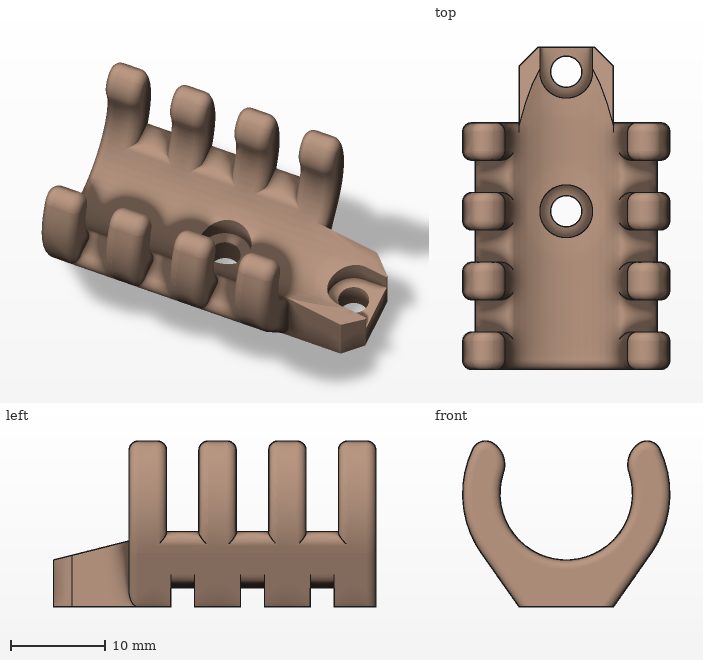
import cadquery as cq
import math

OUTER_WIDTH = 22.0
OUTER_RADIUS = OUTER_WIDTH / 2
BORE_RADIUS = 7.0
AXIS_Z = 12.0
BORE_BOTTOM_Z = AXIS_Z - BORE_RADIUS
BASE_HALF_WIDTH = 5.0

TIP_RADIUS = 1.5
BUMP_RADIUS = 2.75
TOTAL_HEIGHT = 17.6
TIP_ORBIT = OUTER_RADIUS - TIP_RADIUS
TIP_RISE = TOTAL_HEIGHT - TIP_RADIUS - AXIS_Z

TOTAL_LENGTH = 34.2
FINGER_COUNT = 4
FINGER_WIDTH = 4.0
BODY_LENGTH = 26.2
FINGER_PITCH = (BODY_LENGTH - FINGER_WIDTH) / (FINGER_COUNT - 1)
EDGE_RADIUS = 1.0
GAP_FLOOR_Z = 8.0

TONGUE_END_Z = BORE_BOTTOM_Z
TONGUE_ROOT_Z = 7.0
TONGUE_CHAMFER = 2.0

HOLE_DIAMETER = 3.3
COUNTERBORE_DIAMETER = 5.6
COUNTERBORE_FLOOR_Z = 3.0
SCREW_FINGER = 2

NOTCH_WIDTH = 2.5
NOTCH_MIDDLE_Z = 2.0
NOTCH_CEILING_RADIUS = 30.78
NOTCH_ROUND_RADIUS = 2.0


def finger_y(index):
    """Centre of a finger along Y; an index past the last one continues the pitch."""
    return FINGER_WIDTH / 2 + index * FINGER_PITCH


def axis_point(radius, angle):
    """Point (x, z) at a radius and angle about the bore axis."""
    return radius * math.cos(angle), AXIS_Z + radius * math.sin(angle)


def mirror_x(point):
    """Point (x, z) on the opposite side of the middle plane."""
    return -point[0], point[1]


def toward(start, end, distance):
    """Point at a distance from start on the line to end."""
    scale = distance / math.dist(start, end)
    return start[0] + scale * (end[0] - start[0]), start[1] + scale * (end[1] - start[1])


def round_middle(centre, start, end, radius):
    """Middle point of the short arc from start to end about a centre."""
    chord_middle = ((start[0] + end[0]) / 2, (start[1] + end[1]) / 2)
    return toward(centre, chord_middle, radius)


def extrude_along_y(sketch, y_start, y_end):
    """Extrude an XZ sketch from y_start to y_end."""
    return sketch.extrude(-(y_end - y_start)).translate((0, y_start, 0))


flank_angle = -math.atan2(AXIS_Z, BASE_HALF_WIDTH) + math.acos(
    OUTER_RADIUS / math.hypot(BASE_HALF_WIDTH, AXIS_Z)
)
flank_end = axis_point(OUTER_RADIUS, flank_angle)


def clip_outline():
    """C-shaped outline with rounded tips that bulge into the mouth."""
    tip_angle = math.asin(TIP_RISE / TIP_ORBIT)
    bump_orbit = BORE_RADIUS + BUMP_RADIUS
    centre_gap = BUMP_RADIUS - TIP_RADIUS
    cosine = (TIP_ORBIT**2 + bump_orbit**2 - centre_gap**2) / (2 * TIP_ORBIT * bump_orbit)
    bump_angle = tip_angle - math.acos(cosine)

    tip_centre = axis_point(TIP_ORBIT, tip_angle)
    bump_centre = axis_point(bump_orbit, bump_angle)
    tip_outer = axis_point(OUTER_RADIUS, tip_angle)
    tip_top = (tip_centre[0], TOTAL_HEIGHT)
    tip_inner = toward(bump_centre, tip_centre, BUMP_RADIUS)
    bump_end = axis_point(BORE_RADIUS, bump_angle)
    bump_middle = round_middle(bump_centre, tip_inner, bump_end, BUMP_RADIUS)
    outer_side = (OUTER_RADIUS, AXIS_Z)
    return (
        cq.Workplane("XZ")
        .moveTo(-BASE_HALF_WIDTH, 0)
        .lineTo(BASE_HALF_WIDTH, 0)
        .lineTo(*flank_end)
        .threePointArc(outer_side, tip_outer)
        .threePointArc(tip_top, tip_inner)
        .threePointArc(bump_middle, bump_end)
        .threePointArc((0, BORE_BOTTOM_Z), mirror_x(bump_end))
        .threePointArc(mirror_x(bump_middle), mirror_x(tip_inner))
        .threePointArc(mirror_x(tip_top), mirror_x(tip_outer))
        .threePointArc(mirror_x(outer_side), mirror_x(flank_end))
        .close()
    )


def finger(index):
    """Full C-shaped slice at one finger, both end faces rounded except along the flat base."""
    y_start = finger_y(index) - FINGER_WIDTH / 2
    slice_solid = extrude_along_y(clip_outline(), y_start, y_start + FINGER_WIDTH)
    return slice_solid.faces("|Y").edges("not <Z").fillet(EDGE_RADIUS)


def trough(y_end):
    """Bar from the first finger to y_end, its two top walls rounded on both sides."""
    round_z = GAP_FLOOR_Z - EDGE_RADIUS
    drop = AXIS_Z - round_z
    outer_angle = -math.asin(drop / (OUTER_RADIUS - EDGE_RADIUS))
    inner_angle = -math.asin(drop / (BORE_RADIUS + EDGE_RADIUS))
    outer_centre = axis_point(OUTER_RADIUS - EDGE_RADIUS, outer_angle)
    inner_centre = axis_point(BORE_RADIUS + EDGE_RADIUS, inner_angle)

    outer_start = axis_point(OUTER_RADIUS, outer_angle)
    outer_floor = (outer_centre[0], GAP_FLOOR_Z)
    inner_floor = (inner_centre[0], GAP_FLOOR_Z)
    inner_end = axis_point(BORE_RADIUS, inner_angle)
    outer_middle = round_middle(outer_centre, outer_start, outer_floor, EDGE_RADIUS)
    inner_middle = round_middle(inner_centre, inner_floor, inner_end, EDGE_RADIUS)
    side_middle = axis_point(OUTER_RADIUS, (flank_angle + outer_angle) / 2)
    outline = (
        cq.Workplane("XZ")
        .moveTo(-BASE_HALF_WIDTH, 0)
        .lineTo(BASE_HALF_WIDTH, 0)
        .lineTo(*flank_end)
        .threePointArc(side_middle, outer_start)
        .threePointArc(outer_middle, outer_floor)
        .lineTo(*inner_floor)
        .threePointArc(inner_middle, inner_end)
        .threePointArc((0, BORE_BOTTOM_Z), mirror_x(inner_end))
        .threePointArc(mirror_x(inner_middle), mirror_x(inner_floor))
        .lineTo(*mirror_x(outer_floor))
        .threePointArc(mirror_x(outer_middle), mirror_x(outer_start))
        .threePointArc(mirror_x(side_middle), mirror_x(flank_end))
        .close()
    )
    return extrude_along_y(outline, finger_y(0), y_end)


def tongue():
    """Sloped tongue with chamfered end corners; the bore runs out through its top."""
    slope = (TONGUE_ROOT_Z - TONGUE_END_Z) / (TOTAL_LENGTH - BODY_LENGTH)
    y_start = finger_y(FINGER_COUNT - 1)
    start_z = TONGUE_END_Z + slope * (TOTAL_LENGTH - y_start)
    block = (
        cq.Workplane("YZ")
        .polyline([(y_start, 0), (TOTAL_LENGTH, 0), (TOTAL_LENGTH, TONGUE_END_Z), (y_start, start_z)])
        .close()
        .extrude(BASE_HALF_WIDTH, both=True)
        .edges("|Z and >Y")
        .chamfer(TONGUE_CHAMFER)
    )
    return block.intersect(trough(TOTAL_LENGTH))


def screw_hole(y):
    """Through hole along Z with a counterbore opening into the bore."""
    hole = cq.Workplane("XY").center(0, y).circle(HOLE_DIAMETER / 2).extrude(AXIS_Z)
    counterbore = (
        cq.Workplane("XY", origin=(0, y, COUNTERBORE_FLOOR_Z))
        .circle(COUNTERBORE_DIAMETER / 2)
        .extrude(AXIS_Z - COUNTERBORE_FLOOR_Z)
    )
    return hole.union(counterbore)


def tongue_recess(y):
    """Straight recess that carries a counterbore at y out through the end of the tongue."""
    recess = cq.Workplane("XY", origin=(0, y, COUNTERBORE_FLOOR_Z))
    size = (COUNTERBORE_DIAMETER, TOTAL_LENGTH - y, AXIS_Z - COUNTERBORE_FLOOR_Z)
    return recess.box(*size, centered=(True, False, False))


def strap_notch(y):
    """Notch across the base; its bowed ceiling blends into both flanks through rounds."""
    normal = (math.cos(flank_angle), math.sin(flank_angle))
    downhill = (math.sin(flank_angle), -math.cos(flank_angle))
    inset = OUTER_RADIUS - NOTCH_ROUND_RADIUS
    ceiling_centre = (0, NOTCH_MIDDLE_Z + NOTCH_CEILING_RADIUS)
    axis_offset = AXIS_Z - ceiling_centre[1]
    across = inset + axis_offset * normal[1]
    reach = math.sqrt((NOTCH_CEILING_RADIUS - NOTCH_ROUND_RADIUS) ** 2 - across**2)
    along = reach - axis_offset * downhill[1]
    round_centre = (
        inset * normal[0] + along * downhill[0],
        AXIS_Z + inset * normal[1] + along * downhill[1],
    )

    ceiling_end = toward(ceiling_centre, round_centre, NOTCH_CEILING_RADIUS)
    flank_start = (
        round_centre[0] + NOTCH_ROUND_RADIUS * normal[0],
        round_centre[1] + NOTCH_ROUND_RADIUS * normal[1],
    )
    middle = round_middle(round_centre, ceiling_end, flank_start, NOTCH_ROUND_RADIUS)
    outside = (flank_start[0], 0)
    outline = (
        cq.Workplane("XZ")
        .moveTo(*mirror_x(outside))
        .lineTo(*outside)
        .lineTo(*flank_start)
        .threePointArc(middle, ceiling_end)
        .threePointArc((0, NOTCH_MIDDLE_Z), mirror_x(ceiling_end))
        .threePointArc(mirror_x(middle), mirror_x(flank_start))
        .close()
    )
    return extrude_along_y(outline, y - NOTCH_WIDTH / 2, y + NOTCH_WIDTH / 2)


tongue_hole_y = finger_y(FINGER_COUNT)

result = trough(finger_y(FINGER_COUNT - 1)).union(tongue())
for index in range(FINGER_COUNT):
    result = result.union(finger(index))

for index in range(FINGER_COUNT - 1):
    result = result.cut(strap_notch((finger_y(index) + finger_y(index + 1)) / 2))

for y in (finger_y(SCREW_FINGER), tongue_hole_y):
    result = result.cut(screw_hole(y))
result = result.cut(tongue_recess(tongue_hole_y)).clean()